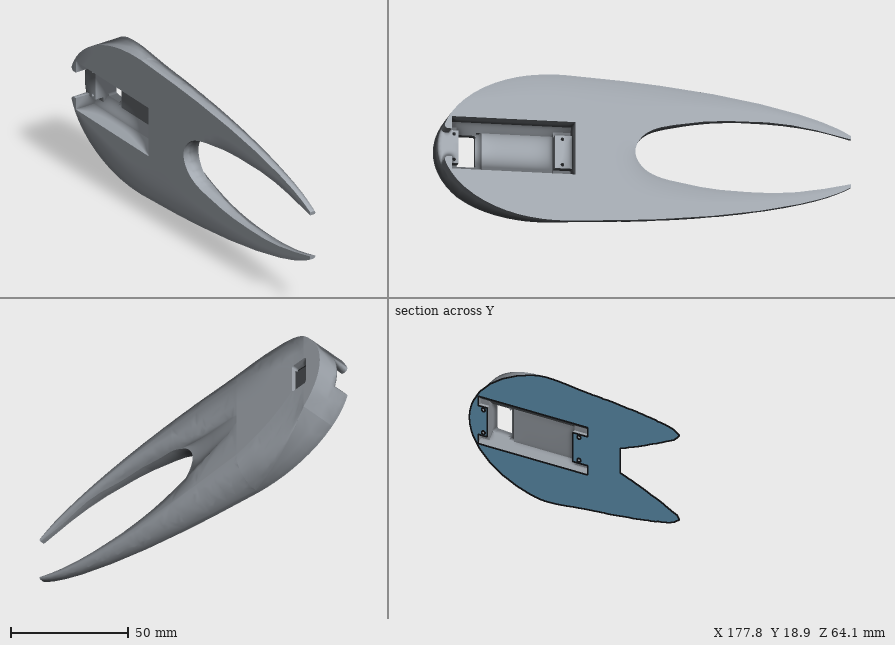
import cadquery as cq
import math

LENGTH = 177.79
HALF_HEIGHT = 32.02
NOSE_THICKNESS = 18.94
TIP_THICKNESS = 2.7
RIM_THICKNESS = 1.8
NOSE_SEMI_AXIS = 50.0
SHOULDER_X = 53.0
ROUNDING_START_X = 10.0
NOSE_CAP_LENGTH = 10.3
NOSE_SECTIONS = 6
NOSE_ROUNDING_RUN = 19.0

TAIL_STATIONS = [
    (SHOULDER_X, HALF_HEIGHT, 2.0),
    (72.0, 31.0, 5.5),
    (93.3, 29.5, 10.3),
    (114.7, 27.2, 14.5),
    (136.1, 23.9, 15.4),
    (157.6, 19.1, 13.9),
    (168.3, 15.7, 12.0),
    (LENGTH, 11.3, 9.75),
]

SLOT_APEX_X = 84.2
SLOT_HALF_OUTLINE = [
    (87.8, 7.2),
    (93.2, 10.4),
    (103.9, 12.9),
    (114.6, 14.6),
    (130.7, 15.5),
    (146.8, 15.3),
    (162.8, 13.1),
    (LENGTH, 9.8),
]

VALLEY_BEND = 0.85
VALLEY_FALL_EXPONENT = 2.5
QUARTER_ELLIPSE = 0.5523

CLEARANCE = 1.0

POCKET_START_X = 4.6
POCKET_END_X = 58.2
POCKET_HALF_HEIGHT = 11.5
POCKET_WALL_DEPTH = 9.5
FLOOR_HALF_HEIGHT = 8.0
FLOOR_DEPTH = POCKET_WALL_DEPTH + POCKET_HALF_HEIGHT - FLOOR_HALF_HEIGHT

LEDGE_DEPTH = 7.2
LEDGE_HALF_HEIGHT = 7.2
LEDGE_SIDE_HALF_HEIGHT = 9.6
LEDGE_SIDE_DEPTH = POCKET_WALL_DEPTH + POCKET_HALF_HEIGHT - LEDGE_SIDE_HALF_HEIGHT
NOSE_LEDGE_END_X = 8.9
TAIL_LEDGE_START_X = 50.7
PIN_HOLE_DIAMETER = 1.52
PIN_HOLE_DEPTH = 4.0
PIN_HOLE_XS = (6.95, 53.95)
PIN_HOLE_Z = 5.6

WINDOW_END_X = 17.6
WINDOW_HALF_HEIGHT = 7.0
WINDOW_FLARE_RADIUS = 2.3
WINDOW_CORNER_RADIUS = 1.0

MOUTH_HALF_HEIGHT = 6.1
MOUTH_ROUNDING = 1.5


def ridge_depth(x):
    """Depth of the back at x, along its straight slope from nose to tip."""
    return NOSE_THICKNESS + (TIP_THICKNESS - NOSE_THICKNESS) * x / LENGTH


def side_wall_depth(x):
    """Depth of the straight side wall at x: falls linearly to the rim at the shoulder."""
    fraction = max(0.0, (SHOULDER_X - x) / (SHOULDER_X - ROUNDING_START_X))
    return RIM_THICKNESS + fraction * (ridge_depth(ROUNDING_START_X) - RIM_THICKNESS)


def nose_half_height(x):
    """Half height of the elliptical nose at x; constant between its centre and the shoulder."""
    along = min(x, NOSE_SEMI_AXIS)
    return HALF_HEIGHT * math.sqrt(1 - (1 - along / NOSE_SEMI_AXIS) ** 2)


def valley_depth(x):
    """Depth of the valley between the prongs: leaves the back at the shoulder, meets the rim at the tip."""
    fraction = (LENGTH - x) / (LENGTH - SHOULDER_X)
    return RIM_THICKNESS + (ridge_depth(SHOULDER_X) - RIM_THICKNESS) * fraction**VALLEY_FALL_EXPONENT


def rounded_edge(x, side, half_height, run):
    """Quarter-ellipse edge from the side wall to the back, on the +z side."""
    back = ridge_depth(x)
    crest = half_height - run
    points = [
        cq.Vector(x, side, half_height),
        cq.Vector(x, side + (back - side) * QUARTER_ELLIPSE, half_height),
        cq.Vector(x, back, half_height - run * (1 - QUARTER_ELLIPSE)),
        cq.Vector(x, back, crest),
    ]
    return cq.Edge.makeBezier(points)


def symmetric_wire(x, half_height, back_edges):
    """Closed section: flat front, side walls, and back edges that are mirrored to the -z side."""
    side = back_edges[0].startPoint().y
    inner = back_edges[-1].endPoint()
    mirrored = [edge.mirror("XY") for edge in reversed(back_edges)]
    front = cq.Edge.makeLine(cq.Vector(x, 0, -half_height), cq.Vector(x, 0, half_height))
    upper_wall = cq.Edge.makeLine(cq.Vector(x, 0, half_height), cq.Vector(x, side, half_height))
    lower_wall = cq.Edge.makeLine(cq.Vector(x, side, -half_height), cq.Vector(x, 0, -half_height))
    middle = cq.Edge.makeLine(inner, cq.Vector(x, inner.y, -inner.z))
    return cq.Wire.assembleEdges([front, upper_wall, *back_edges, middle, *mirrored, lower_wall])


def nose_section(x):
    """Section whose rounded edges start wide near the nose and narrow toward the shoulder."""
    half_height = nose_half_height(x)
    fraction = (SHOULDER_X - x) / (SHOULDER_X - ROUNDING_START_X)
    shoulder_run = ridge_depth(SHOULDER_X) - RIM_THICKNESS
    run = shoulder_run + fraction * (NOSE_ROUNDING_RUN - shoulder_run)
    return symmetric_wire(x, half_height, [rounded_edge(x, side_wall_depth(x), half_height, run)])


def tail_section(x, half_height, valley_half_height):
    """Section with a crest on each side and a valley between them."""
    run = ridge_depth(x) - RIM_THICKNESS
    outer = rounded_edge(x, RIM_THICKNESS, half_height, run)
    crest = outer.endPoint()
    bend = crest.z + (valley_half_height - crest.z) * VALLEY_BEND
    inner_points = [
        crest,
        cq.Vector(x, crest.y, bend),
        cq.Vector(x, valley_depth(x), valley_half_height),
    ]
    inner = cq.Edge.makeBezier(inner_points)
    return symmetric_wire(x, half_height, [outer, inner])


def block(x0, x1, y0, y1, half_height):
    """Box between two x and two y values, centred on z = 0."""
    size = (x1 - x0, y1 - y0, 2 * half_height)
    return cq.Workplane("XY", origin=(x0, y0, 0)).box(*size, centered=(False, False, True))


def nose_cap():
    """Front end of the nose, straight-sided, with the rounded mouth cut through it."""
    x_end = NOSE_CAP_LENGTH
    ellipse = (
        cq.Workplane("XZ", origin=(NOSE_SEMI_AXIS, 0, 0))
        .ellipse(NOSE_SEMI_AXIS, HALF_HEIGHT)
        .extrude(-NOSE_THICKNESS)
    )
    wedge = (
        cq.Workplane("XY")
        .polyline([(0, 0), (x_end, 0), (x_end, ridge_depth(x_end)), (0, NOSE_THICKNESS)])
        .close()
        .extrude(HALF_HEIGHT, both=True)
    )
    cap = ellipse.intersect(wedge)
    mouth = block(-CLEARANCE, POCKET_START_X, -CLEARANCE, LEDGE_DEPTH, MOUTH_HALF_HEIGHT)
    cap = cap.cut(mouth)
    mouth_rim_zone = cq.selectors.BoxSelector(
        (-CLEARANCE, CLEARANCE, -POCKET_HALF_HEIGHT),
        (POCKET_START_X / 2, LEDGE_DEPTH + CLEARANCE, POCKET_HALF_HEIGHT),
    )
    return cap.edges(mouth_rim_zone).fillet(MOUTH_ROUNDING)


def body():
    """Solid outer body: straight nose cap, rounded nose and tail."""
    first = math.acos(1 - NOSE_CAP_LENGTH / NOSE_SEMI_AXIS)
    sections = []
    for i in range(NOSE_SECTIONS):
        angle = first + (math.pi / 2 - first) * i / (NOSE_SECTIONS - 1)
        sections.append(nose_section(NOSE_SEMI_AXIS * (1 - math.cos(angle))))
    sections.append(nose_section(SHOULDER_X))
    nose = cq.Solid.makeLoft(sections)
    tail = cq.Solid.makeLoft([tail_section(*station) for station in TAIL_STATIONS])
    return nose_cap().union(cq.Workplane(obj=nose)).union(cq.Workplane(obj=tail))


def tail_slot():
    """Cutting shape for the open-ended slot between the prongs."""
    lower = [(x, -z) for x, z in reversed(SLOT_HALF_OUTLINE)]
    outline = lower + [(SLOT_APEX_X, 0)] + SLOT_HALF_OUTLINE
    end_z = SLOT_HALF_OUTLINE[-1][1]
    return (
        cq.Workplane("XZ", origin=(0, -CLEARANCE, 0))
        .spline(outline)
        .lineTo(LENGTH + CLEARANCE, end_z)
        .lineTo(LENGTH + CLEARANCE, -end_z)
        .close()
        .extrude(-NOSE_THICKNESS - 2 * CLEARANCE)
    )


def sloped_channel(x0, x1, floor_half_height):
    """Channel with straight walls and 45 degree slopes down to a floor of the given half height."""
    floor = POCKET_WALL_DEPTH + POCKET_HALF_HEIGHT - floor_half_height
    return (
        cq.Workplane("YZ", origin=(x0, 0, 0))
        .polyline([
            (0, -POCKET_HALF_HEIGHT),
            (POCKET_WALL_DEPTH, -POCKET_HALF_HEIGHT),
            (floor, -floor_half_height),
            (floor, floor_half_height),
            (POCKET_WALL_DEPTH, POCKET_HALF_HEIGHT),
            (0, POCKET_HALF_HEIGHT),
        ])
        .close()
        .extrude(x1 - x0)
    )


def ledge(x0, x1):
    """Raised middle part of a ledge, filling the pocket behind it."""
    return block(x0, x1, LEDGE_DEPTH, LEDGE_SIDE_DEPTH, LEDGE_HALF_HEIGHT)


def pocket():
    """Cutting shape for the pocket, leaving a raised ledge at each end."""
    ends = sloped_channel(POCKET_START_X, POCKET_END_X, LEDGE_SIDE_HALF_HEIGHT)
    ends = ends.cut(ledge(POCKET_START_X, NOSE_LEDGE_END_X)).cut(ledge(TAIL_LEDGE_START_X, POCKET_END_X))
    return ends.union(sloped_channel(NOSE_LEDGE_END_X, TAIL_LEDGE_START_X, FLOOR_HALF_HEIGHT))


def window():
    """Opening through the back, with a rounded edge toward the pocket floor."""
    throat = sloped_channel(NOSE_LEDGE_END_X, WINDOW_END_X, WINDOW_HALF_HEIGHT)
    outside = NOSE_THICKNESS + CLEARANCE
    opening = block(NOSE_LEDGE_END_X, WINDOW_END_X, FLOOR_DEPTH, outside, WINDOW_HALF_HEIGHT)
    opening = opening.edges("|Y").fillet(WINDOW_CORNER_RADIUS)
    flare = (
        cq.Workplane("XY", origin=(0, 0, -FLOOR_HALF_HEIGHT))
        .moveTo(WINDOW_END_X, FLOOR_DEPTH)
        .lineTo(WINDOW_END_X + WINDOW_FLARE_RADIUS, FLOOR_DEPTH)
        .radiusArc((WINDOW_END_X, FLOOR_DEPTH + WINDOW_FLARE_RADIUS), -WINDOW_FLARE_RADIUS)
        .close()
        .extrude(2 * FLOOR_HALF_HEIGHT)
    )
    return throat.union(opening).union(flare)


def pin_holes():
    """Blind holes in the two ledges."""
    centers = [(x, side * PIN_HOLE_Z) for x in PIN_HOLE_XS for side in (-1, 1)]
    return (
        cq.Workplane("XZ", origin=(0, LEDGE_DEPTH, 0))
        .pushPoints(centers)
        .circle(PIN_HOLE_DIAMETER / 2)
        .extrude(-PIN_HOLE_DEPTH)
    )


result = body().cut(tail_slot()).cut(pocket()).cut(window()).cut(pin_holes())